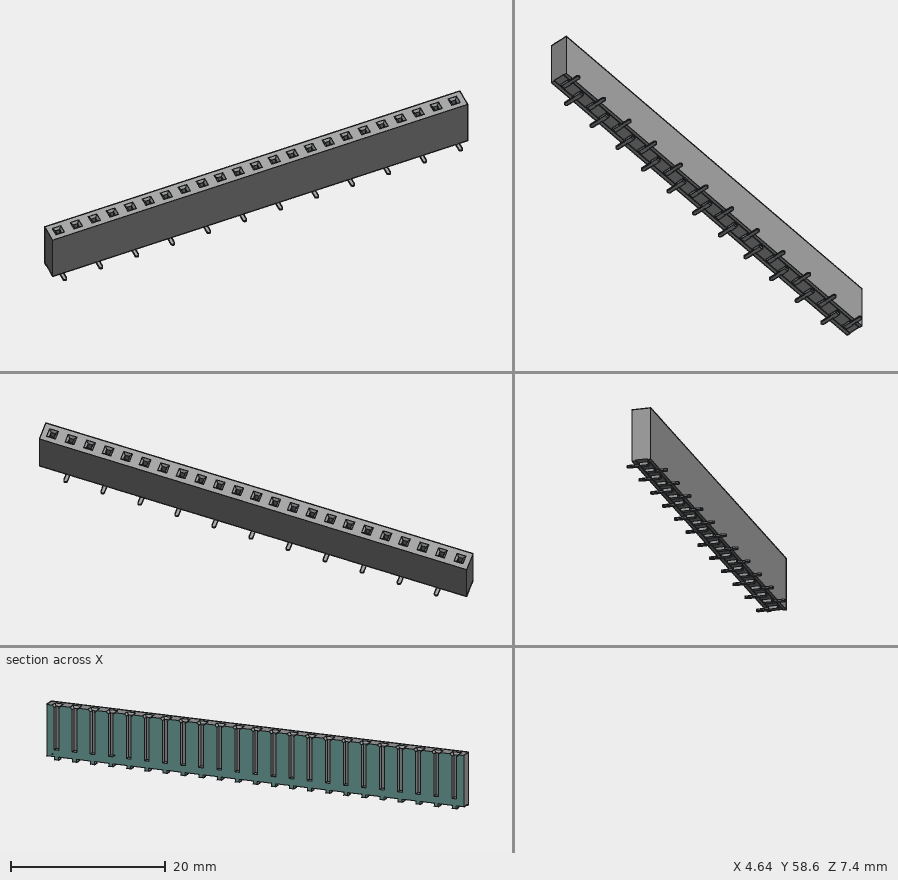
import cadquery as cq

contact_count = 23
pitch = 2.54
body_width = 2.54
body_length = 58.62
total_height = 7.4
lead_span = 4.64

foot_width = 0.5
foot_thickness = 0.2
stem_width = 0.6
stem_length = 1.2
heel_bevel = 0.15

standoff = 0.3
channel_width = 1.6
channel_depth = 0.1

funnel_mouth = 1.2
socket_width = 0.6
socket_depth = 6.0

body_height = total_height - standoff
channel_top = standoff + channel_depth
funnel_depth = (funnel_mouth - socket_width) / 2
socket_floor = total_height - socket_depth
centered_on_floor = (True, True, False)


def make_housing():
    """Long rectangular block with a shallow channel along its underside."""
    block = cq.Workplane("XY", origin=(0, 0, standoff)).box(
        body_width, body_length, body_height, centered=centered_on_floor
    )
    channel = cq.Workplane("XY", origin=(0, 0, standoff)).box(
        channel_width, body_length, channel_depth, centered=centered_on_floor
    )
    return block.cut(channel)


def make_socket():
    """Square blind hole with a 45 degree lead-in."""
    funnel = (
        cq.Workplane("XY", origin=(0, 0, total_height))
        .rect(funnel_mouth, funnel_mouth)
        .workplane(offset=-funnel_depth)
        .rect(socket_width, socket_width)
        .loft(ruled=True)
    )
    hole = cq.Workplane("XY", origin=(0, 0, socket_floor)).box(
        socket_width, socket_width, socket_depth, centered=centered_on_floor
    )
    return funnel.union(hole)


def make_lead():
    """Stem filling the gap up to the channel roof, with a round-ended foot reaching out to +X."""
    stem = (
        cq.Workplane("XY")
        .box(stem_length, stem_width, channel_top, centered=centered_on_floor)
        .edges("<Z and <X")
        .chamfer(heel_bevel)
    )
    foot_radius = foot_width / 2
    round_center = lead_span / 2 - foot_radius
    foot = (
        cq.Workplane("XY")
        .moveTo(0, -foot_radius)
        .lineTo(round_center, -foot_radius)
        .threePointArc((lead_span / 2, 0), (round_center, foot_radius))
        .lineTo(0, foot_radius)
        .close()
        .extrude(foot_thickness)
    )
    return stem.union(foot)


socket = make_socket()
right_lead = make_lead()
left_lead = right_lead.rotate((0, 0, 0), (0, 0, 1), 180)

result = make_housing()
for index in range(contact_count):
    contact_y = (index - (contact_count - 1) / 2) * pitch
    lead = right_lead if index % 2 == 0 else left_lead
    result = result.cut(socket.translate((0, contact_y, 0)))
    result = result.union(lead.translate((0, contact_y, 0)))